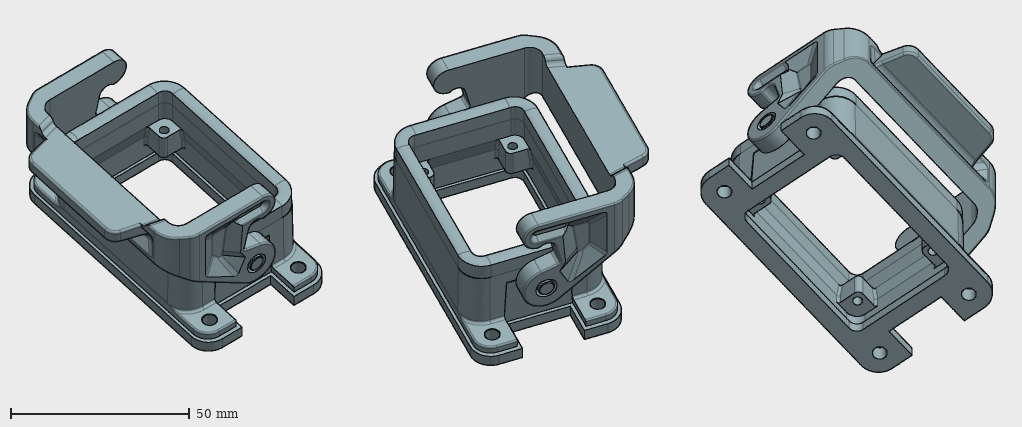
import cadquery as cq
import math


SELECT_REACH = 0.1
CUT_MARGIN = 1.65

PLATE_LENGTH = 82.5
PLATE_WIDTH = 45.4
PLATE_HEIGHT = 3.6
PLATE_CORNER = 6.2
PLATE_NOTCH_HALF_WIDTH = 18.7 / 2
PLATE_NOTCH_X = 30.85
FLANGE_HALF_LENGTH = 39.9
FLANGE_TOP = 5.9
FLANGE_CORNER = 5.2
FLANGE_EDGE_ROUND = 0.5
MOUNT_HOLE_X = 35.0
MOUNT_HOLE_Y = 16.0
MOUNT_HOLE_RADIUS = 2.1
MOUNT_HOLE_CHAMFER = 0.2

BODY_HALF_LENGTH = 30.2
BODY_HALF_WIDTH = 21.7
BODY_CORNER = 7.0
UPPER_CORNER = 7.2
BODY_DRAFT = 0.9
BODY_BREAK_Z = 23.35
BODY_TOP = 28.55
FOOT_ROUND = 0.8
RIM_CROWN = 0.4
SIDE_FLAT_X = 29.8
SIDE_FLAT_TOP = 19.2
SIDE_FLAT_HALF_WIDTH_BOTTOM = 10.5
SIDE_FLAT_HALF_WIDTH_TOP = 9.6

CAVITY_HALF_LENGTH = 25.8
CAVITY_HALF_WIDTH = 34.9 / 2
CAVITY_CORNER = 2.8
CAVITY_SHELF_Z = 16.75
CAVITY_SLOPE_END_Z = 12.2
CAVITY_WIDENING = 0.9
SCREW_BOSS_BOTTOM = 8.75
SCREW_BOSS_INNER_X = 19.3
SCREW_BOSS_INNER_Y = 10.9
SCREW_BOSS_CORNER = 1.65
SCREW_BOSS_ROOT_ROUND = 0.75
SCREW_HOLE_X = 21.95
SCREW_HOLE_Y = 13.5
SCREW_HOLE_RADIUS = 2.7 / 2

LEVER_HALF_LENGTH = 36.1
LEVER_INNER_HALF_LENGTH = 30.6
LEVER_FRONT_Y = -29.7
LEVER_INNER_FRONT_Y = -24.5
LEVER_INNER_CORNER = 3.8
LEVER_TOP = 45.0
LEVER_FRONT_BOTTOM = 31.6
LEVER_EDGE_ROUND = 0.5
CORNER_START_ANGLE = 31.6
CORNER_START_RADIUS = 5.4
CORNER_MAIN_RADIUS = 7.8
CORNER_START_Y = -20.6
PIVOT_Z = 19.3
PIVOT_EYE_RADIUS = 7.0
NOSE_Y = 2.4
NOSE_RADIUS = 4.5
THROAT_Z = 34.0
THROAT_RADIUS = 2.8
THROAT_TILT = 13.0
THROAT_CORNER_ROUND = 1.0
NOSE_CUSP_ROUND = 0.8

PIN_RADIUS = 2.4
PIN_END_X = 36.4
PIN_CHAMFER = 0.25
PIN_SINK_RADIUS = 3.2
PIN_COLLAR_RADIUS = 3.4

ARM_POCKET_DEPTH = 2.5
ARM_POCKET_RIM = [(-4.6, 42.8), (-18.4, 42.8), (-18.4, 25.9), (-6.9, 18.65), (-4.05, 24.5), (-5.8, 27.6)]
ARM_POCKET_FLOOR = [(-9.0, 38.3), (-14.0, 38.3), (-14.0, 29.8), (-11.5, 27.3), (-10.5, 27.6), (-10.2, 29.1)]
ARM_POCKET_CORNER = 2.9
ARM_POCKET_ROUNDED = (1, 2, 3)
HOOK_GROOVE_START_Y = 4.9
HOOK_GROOVE_END_Y = -8.25
HOOK_GROOVE_Z = 40.5
HOOK_GROOVE_WIDTH = 4.8
HOOK_GROOVE_DEPTH = 1.65
FRONT_POCKET_DEPTH = 2.5
FRONT_POCKET_RIM = (-26.5, 26.5, 33.0, 41.75)
FRONT_POCKET_FLOOR = (-23.1, 23.1, 35.9, 39.2)
FRONT_POCKET_CORNER = 2.5
POCKET_FLOOR_ROUND = 0.7
POCKET_RIM_ROUND = 0.6

TAB_TOP = 42.9
TAB_TIP_Y = -38.8
TAB_ROOT_HALF_WIDTH = 22.85
TAB_SIDE_ANGLE = 14.5
TAB_CORNER = 3.7
TAB_BOTTOM_ROOT_Z = 38.2
TAB_BOTTOM_TIP_Z = 38.8
TAB_EDGE_ROUND = 0.75
TAB_ROOT_DROP = 1.1
TAB_NOTCH_FLANK_RUN = 3.2


def near(x_span, y_span, z_span):
    """Selector for shapes centred within the given (min, max) spans, ends included."""
    spans = (x_span, y_span, z_span)
    return cq.selectors.BoxSelector(
        tuple(low - SELECT_REACH for low, high in spans),
        tuple(high + SELECT_REACH for low, high in spans),
    )


def span(half):
    """Span reaching equally far to both sides of zero."""
    return (-half, half)


def at(value):
    """Span holding a single coordinate."""
    return (value, value)


def rounded_block(half_x, half_y, corner, z_bottom, z_top, draft=0.0):
    """Upright block on a rounded rectangle, tapering inwards by the draft angle."""
    outline = cq.Sketch().rect(2 * half_x, 2 * half_y).vertices().fillet(corner)
    base_plane = cq.Workplane().workplane(offset=z_bottom)
    return base_plane.placeSketch(outline).extrude(z_top - z_bottom, taper=draft)


def side_notches(half_width_bottom, half_width_top, x_inner, z_bottom, z_top):
    """Cutters for both X ends, trapezoidal in the YZ plane."""
    outline = [
        (-half_width_bottom, z_bottom),
        (half_width_bottom, z_bottom),
        (half_width_top, z_top),
        (-half_width_top, z_top),
    ]
    cutter = cq.Workplane("YZ").workplane(offset=x_inner).polyline(outline).close().extrude(PLATE_LENGTH)
    return cutter.union(cutter.mirror("YZ"))


def base_plate():
    plate = rounded_block(PLATE_LENGTH / 2, PLATE_WIDTH / 2, PLATE_CORNER, 0, PLATE_HEIGHT)
    return plate.cut(
        side_notches(PLATE_NOTCH_HALF_WIDTH, PLATE_NOTCH_HALF_WIDTH, PLATE_NOTCH_X, 0, PLATE_HEIGHT)
    )


def rim_dome(half_x, half_y, corner, z_edge):
    """Crowned ring that closes the top of the wall."""
    side_y = half_y - corner
    side_x = half_x - corner
    path = (
        cq.Workplane().workplane(offset=z_edge).moveTo(half_x, 0)
        .lineTo(half_x, side_y).radiusArc((side_x, half_y), -corner)
        .lineTo(-side_x, half_y).radiusArc((-half_x, side_y), -corner)
        .lineTo(-half_x, -side_y).radiusArc((-side_x, -half_y), -corner)
        .lineTo(side_x, -half_y).radiusArc((half_x, -side_y), -corner)
        .close()
    )
    middle = (half_x + CAVITY_HALF_LENGTH) / 2
    section = (
        cq.Workplane("XZ").moveTo(half_x, z_edge)
        .threePointArc((middle, z_edge + RIM_CROWN), (CAVITY_HALF_LENGTH, z_edge))
        .lineTo(CAVITY_HALF_LENGTH, z_edge - RIM_CROWN)
        .lineTo(half_x, z_edge - RIM_CROWN)
        .close()
    )
    return section.sweep(path)


def housing():
    """Wall with flange and base plate, and separately the dome of its rim."""
    shrink = (BODY_BREAK_Z - FLANGE_TOP) * math.tan(math.radians(BODY_DRAFT))
    upper_x = BODY_HALF_LENGTH - shrink
    upper_y = BODY_HALF_WIDTH - shrink
    wall_top = BODY_TOP - RIM_CROWN

    slab = cq.Workplane().box(
        PLATE_LENGTH, 2 * PLATE_WIDTH, FLANGE_TOP - PLATE_HEIGHT, centered=(True, True, False)
    ).translate((0, 0, PLATE_HEIGHT))
    wall = slab.union(rounded_block(
        BODY_HALF_LENGTH, BODY_HALF_WIDTH, BODY_CORNER, FLANGE_TOP, BODY_BREAK_Z, BODY_DRAFT
    ))
    wall_foot = near(span(BODY_HALF_LENGTH), span(BODY_HALF_WIDTH), at(FLANGE_TOP))
    wall = wall.edges(wall_foot).fillet(FOOT_ROUND)
    wall = wall.intersect(rounded_block(
        FLANGE_HALF_LENGTH, BODY_HALF_WIDTH, FLANGE_CORNER, PLATE_HEIGHT, BODY_BREAK_Z
    ))
    flange_end = near(at(FLANGE_HALF_LENGTH), at(0), at(FLANGE_TOP))
    opposite_end = near(at(-FLANGE_HALF_LENGTH), at(0), at(FLANGE_TOP))
    wall = wall.edges(flange_end + opposite_end).fillet(FLANGE_EDGE_ROUND)
    wall = wall.union(rounded_block(upper_x, upper_y, UPPER_CORNER, BODY_BREAK_Z, wall_top))
    wall = wall.cut(side_notches(
        SIDE_FLAT_HALF_WIDTH_BOTTOM, SIDE_FLAT_HALF_WIDTH_TOP, SIDE_FLAT_X, PLATE_HEIGHT, SIDE_FLAT_TOP
    ))
    return wall.union(base_plate()), rim_dome(upper_x, upper_y, UPPER_CORNER, wall_top)


def cavity():
    def level(z_bottom, z_top, widening, draft=0.0):
        return rounded_block(
            CAVITY_HALF_LENGTH + widening,
            CAVITY_HALF_WIDTH + widening,
            CAVITY_CORNER + widening,
            z_bottom, z_top, draft,
        )

    draft_shift = (BODY_BREAK_Z - CAVITY_SHELF_Z) * math.tan(math.radians(BODY_DRAFT))
    slope_run = CAVITY_WIDENING - draft_shift
    slope = math.degrees(math.atan(slope_run / (CAVITY_SHELF_Z - CAVITY_SLOPE_END_Z)))
    space = level(0, BODY_TOP, 0)
    space = space.union(level(PLATE_HEIGHT, CAVITY_SLOPE_END_Z, CAVITY_WIDENING))
    space = space.union(level(CAVITY_SLOPE_END_Z, CAVITY_SHELF_Z, CAVITY_WIDENING, slope))
    return space.union(level(CAVITY_SHELF_Z, BODY_BREAK_Z, draft_shift, BODY_DRAFT))


def screw_bosses():
    """Blocks in the four cavity corners, each with a through hole."""
    outer_x = CAVITY_HALF_LENGTH + 2 * CAVITY_WIDENING
    outer_y = CAVITY_HALF_WIDTH + 2 * CAVITY_WIDENING
    height = CAVITY_SHELF_Z - SCREW_BOSS_BOTTOM
    boss = (
        cq.Workplane().workplane(offset=SCREW_BOSS_BOTTOM)
        .moveTo(SCREW_BOSS_INNER_X, SCREW_BOSS_INNER_Y)
        .lineTo(outer_x, SCREW_BOSS_INNER_Y).lineTo(outer_x, outer_y).lineTo(SCREW_BOSS_INNER_X, outer_y)
        .close().extrude(height)
        .edges("|Z and <X and <Y").fillet(SCREW_BOSS_CORNER)
    )
    hole = (
        cq.Workplane().workplane(offset=SCREW_BOSS_BOTTOM)
        .center(SCREW_HOLE_X, SCREW_HOLE_Y).circle(SCREW_HOLE_RADIUS).extrude(height)
    )
    boss = boss.cut(hole)
    pair = boss.union(boss.mirror("YZ"))
    return pair.union(pair.mirror("XZ"))


def mounting_holes():
    height = FLANGE_TOP
    hole = (
        cq.Workplane().rect(2 * MOUNT_HOLE_X, 2 * MOUNT_HOLE_Y, forConstruction=True).vertices()
        .circle(MOUNT_HOLE_RADIUS).extrude(height)
    )
    rim = (
        cq.Workplane().workplane(offset=height)
        .rect(2 * MOUNT_HOLE_X, 2 * MOUNT_HOLE_Y, forConstruction=True).vertices()
        .circle(MOUNT_HOLE_RADIUS + MOUNT_HOLE_CHAMFER).extrude(-MOUNT_HOLE_CHAMFER, taper=45)
    )
    return hole.union(rim)


def lever_side_points():
    """Points (Y, Z) where the stretches of the arm outline meet."""
    tilt = math.radians(THROAT_TILT)
    across = (math.cos(tilt), math.sin(tilt))
    nose_z = LEVER_TOP - NOSE_RADIUS

    to_front = (LEVER_FRONT_Y, LEVER_FRONT_BOTTOM - PIVOT_Z)
    reach = math.hypot(*to_front)
    angle = math.atan2(to_front[1], to_front[0]) + math.acos(PIVOT_EYE_RADIUS / reach)
    eye_bottom = (PIVOT_EYE_RADIUS * math.cos(angle), PIVOT_Z + PIVOT_EYE_RADIUS * math.sin(angle))
    eye_top = (PIVOT_EYE_RADIUS * across[1], PIVOT_Z + PIVOT_EYE_RADIUS * across[0])

    throat_side = (-THROAT_RADIUS * across[0], THROAT_Z + THROAT_RADIUS * across[1])
    drop = (throat_side[0] - eye_top[0]) * across[1] + (throat_side[1] - eye_top[1]) * across[0]
    corner = (throat_side[0] - drop * across[1], throat_side[1] - drop * across[0])

    gap_y = NOSE_Y
    gap_z = nose_z - THROAT_Z
    gap = math.hypot(gap_y, gap_z)
    along = (gap**2 + THROAT_RADIUS**2 - NOSE_RADIUS**2) / (2 * gap)
    offset = math.sqrt(THROAT_RADIUS**2 - along**2)
    cusp = (
        (along * gap_y + offset * gap_z) / gap,
        THROAT_Z + (along * gap_z - offset * gap_y) / gap,
    )
    return eye_bottom, eye_top, corner, throat_side, cusp


def lever_side():
    """Side outline with pivot eye, throat, hook nose and front wall, run across the full lever."""
    eye_bottom, eye_top, corner, throat_side, cusp = lever_side_points()
    profile = (
        cq.Workplane("YZ").workplane(offset=-LEVER_HALF_LENGTH)
        .moveTo(LEVER_FRONT_Y, LEVER_TOP)
        .lineTo(LEVER_FRONT_Y, LEVER_FRONT_BOTTOM)
        .lineTo(*eye_bottom)
        .threePointArc((PIVOT_EYE_RADIUS, PIVOT_Z), eye_top)
        .lineTo(*corner)
        .lineTo(*throat_side)
        .radiusArc(cusp, THROAT_RADIUS)
        .threePointArc((NOSE_Y + NOSE_RADIUS, LEVER_TOP - NOSE_RADIUS), (NOSE_Y, LEVER_TOP))
        .close()
        .extrude(2 * LEVER_HALF_LENGTH)
    )
    profile = profile.edges(near(at(0), at(corner[0]), at(corner[1]))).fillet(THROAT_CORNER_ROUND)
    return profile.edges(near(at(0), at(cusp[0]), at(cusp[1]))).fillet(NOSE_CUSP_ROUND)


def lever_plan():
    """Outer plan outline of the lever; the corner starts gently and then tightens."""
    turn = math.radians(CORNER_START_ANGLE)
    x0 = LEVER_HALF_LENGTH
    x1 = x0 - CORNER_START_RADIUS * (1 - math.cos(turn))
    y1 = CORNER_START_Y - CORNER_START_RADIUS * math.sin(turn)
    y2 = LEVER_FRONT_Y + CORNER_MAIN_RADIUS * (1 - math.sin(turn))
    x2 = x1 - (y1 - y2) * math.tan(turn)
    x3 = x2 - CORNER_MAIN_RADIUS * math.cos(turn)
    back_y = PIVOT_EYE_RADIUS + CUT_MARGIN
    half = (
        cq.Workplane().moveTo(0, back_y).lineTo(x0, back_y).lineTo(x0, CORNER_START_Y)
        .radiusArc((x1, y1), CORNER_START_RADIUS).lineTo(x2, y2)
        .radiusArc((x3, LEVER_FRONT_Y), CORNER_MAIN_RADIUS)
        .lineTo(0, LEVER_FRONT_Y).close().extrude(LEVER_TOP)
    )
    return half.union(half.mirror("YZ"))


def lever_frame():
    block = lever_side().intersect(lever_plan())
    block = block.edges("not(|X or |Z)").fillet(LEVER_EDGE_ROUND)
    inner_length = PIVOT_EYE_RADIUS + CUT_MARGIN - LEVER_INNER_FRONT_Y
    opening = (
        cq.Workplane()
        .box(2 * LEVER_INNER_HALF_LENGTH, inner_length, LEVER_TOP, centered=(True, False, False))
        .edges("|Z and <Y").fillet(LEVER_INNER_CORNER)
        .translate((0, LEVER_INNER_FRONT_Y, 0))
    )
    return block.cut(opening)


def plan_half_width(y):
    """Half width of the tab at a given Y."""
    return TAB_ROOT_HALF_WIDTH - (LEVER_INNER_FRONT_Y - y) * math.tan(math.radians(TAB_SIDE_ANGLE))


def notch_section(workplane, half_width):
    """Cross-section of the notch; each flank is an S of two equal arcs."""
    height = LEVER_TOP - TAB_TOP
    radius = (TAB_NOTCH_FLANK_RUN**2 + height**2) / (4 * height)
    middle_x = half_width + TAB_NOTCH_FLANK_RUN / 2
    top_x = half_width + TAB_NOTCH_FLANK_RUN
    middle_z = TAB_TOP + height / 2
    return (
        workplane.moveTo(-half_width, TAB_TOP).lineTo(half_width, TAB_TOP)
        .radiusArc((middle_x, middle_z), -radius)
        .radiusArc((top_x, LEVER_TOP), radius)
        .lineTo(-top_x, LEVER_TOP)
        .radiusArc((-middle_x, middle_z), radius)
        .radiusArc((-half_width, TAB_TOP), -radius)
        .close()
    )


def tab_notch():
    """Opening above the tab in the front wall, widening backwards."""
    back_y = LEVER_INNER_FRONT_Y + CUT_MARGIN
    front_y = LEVER_FRONT_Y - CUT_MARGIN
    section = notch_section(cq.Workplane("XZ", origin=(0, back_y, 0)), plan_half_width(back_y))
    section = notch_section(section.workplane(offset=back_y - front_y), plan_half_width(front_y))
    return section.loft(ruled=True, combine=True)


def thumb_tab(root_y):
    """Tapering tab that starts inside the front wall at the given Y."""
    plan = (
        cq.Workplane()
        .polyline([
            (-plan_half_width(root_y), root_y),
            (-plan_half_width(TAB_TIP_Y), TAB_TIP_Y),
            (plan_half_width(TAB_TIP_Y), TAB_TIP_Y),
            (plan_half_width(root_y), root_y),
        ])
        .close().extrude(TAB_TOP)
        .edges("|Z and <Y").fillet(TAB_CORNER)
    )
    run = root_y - LEVER_FRONT_Y
    sweep_radius = (run**2 + TAB_ROOT_DROP**2) / (2 * TAB_ROOT_DROP)
    side = (
        cq.Workplane("YZ").workplane(offset=-LEVER_HALF_LENGTH)
        .moveTo(root_y, TAB_TOP)
        .lineTo(TAB_TIP_Y, TAB_TOP)
        .lineTo(TAB_TIP_Y, TAB_BOTTOM_TIP_Z)
        .lineTo(LEVER_FRONT_Y, TAB_BOTTOM_ROOT_Z)
        .radiusArc((root_y, TAB_BOTTOM_ROOT_Z - TAB_ROOT_DROP), sweep_radius)
        .close().extrude(2 * LEVER_HALF_LENGTH)
    )
    tab = plan.intersect(side)
    return tab.edges("<Y").edges("|X").fillet(TAB_EDGE_ROUND)


def polygon_loft(plane, rim, floor, depth):
    """Recess cutter with flat sloping sides from a rim polygon down to a floor polygon."""
    return (
        cq.Workplane(plane).polyline(rim).close()
        .workplane(offset=depth).polyline(floor).close()
        .loft(ruled=True, combine=True)
    )


def rectangle(x_min, x_max, z_min, z_max):
    return [(x_min, z_min), (x_max, z_min), (x_max, z_max), (x_min, z_max)]


def arm_recess():
    """Pocket of the arm at -X, with the groove that runs into the hook."""
    outer_face = cq.Plane((-LEVER_HALF_LENGTH, 0, 0), xDir=(0, 1, 0), normal=(1, 0, 0))
    pocket = polygon_loft(outer_face, ARM_POCKET_RIM, ARM_POCKET_FLOOR, ARM_POCKET_DEPTH)
    middle_x = -LEVER_HALF_LENGTH + ARM_POCKET_DEPTH / 2
    for i in ARM_POCKET_ROUNDED:
        middle_y = (ARM_POCKET_RIM[i][0] + ARM_POCKET_FLOOR[i][0]) / 2
        middle_z = (ARM_POCKET_RIM[i][1] + ARM_POCKET_FLOOR[i][1]) / 2
        pocket = pocket.edges(near(at(middle_x), at(middle_y), at(middle_z))).fillet(ARM_POCKET_CORNER)
    pocket = pocket.faces(">X").edges().fillet(POCKET_FLOOR_ROUND)
    groove_length = HOOK_GROOVE_START_Y - HOOK_GROOVE_END_Y
    groove_middle = (HOOK_GROOVE_START_Y + HOOK_GROOVE_END_Y) / 2
    groove = (
        cq.Workplane(outer_face).center(groove_middle, HOOK_GROOVE_Z)
        .slot2D(groove_length, HOOK_GROOVE_WIDTH).extrude(HOOK_GROOVE_DEPTH, taper=45)
    )
    return pocket.union(groove)


def front_recess():
    front_face = cq.Plane((0, LEVER_FRONT_Y, 0), xDir=(-1, 0, 0), normal=(0, 1, 0))
    recess = polygon_loft(
        front_face, rectangle(*FRONT_POCKET_RIM), rectangle(*FRONT_POCKET_FLOOR), FRONT_POCKET_DEPTH
    )
    recess = recess.edges("not(#Y)").fillet(FRONT_POCKET_CORNER)
    return recess.faces(">Y").edges().fillet(POCKET_FLOOR_ROUND)


def pivot_pin():
    """Pin at -X with its collar between the housing and the arm."""
    start_x = -(CAVITY_HALF_LENGTH + SIDE_FLAT_X) / 2
    pin = (
        cq.Workplane("YZ", origin=(start_x, 0, PIVOT_Z)).circle(PIN_RADIUS)
        .extrude(-(PIN_END_X + start_x)).faces("<X").chamfer(PIN_CHAMFER)
    )
    collar = (
        cq.Workplane("YZ", origin=(start_x, 0, PIVOT_Z)).circle(PIN_COLLAR_RADIUS)
        .extrude(-(LEVER_INNER_HALF_LENGTH + start_x))
    )
    return pin.union(collar)


def pin_sink():
    """Conical sink around the pin end at -X."""
    depth = PIN_SINK_RADIUS - PIN_RADIUS
    return (
        cq.Workplane("YZ", origin=(-LEVER_HALF_LENGTH, 0, PIVOT_Z)).circle(PIN_SINK_RADIUS)
        .extrude(depth, taper=45)
    )


def both_sides(feature):
    """The feature together with its mirror image across X = 0."""
    return feature.union(feature.mirror("YZ"))


def lever():
    frame = lever_frame().cut(tab_notch())
    frame = frame.cut(front_recess())
    front_rim = near(span(FRONT_POCKET_RIM[1]), at(LEVER_FRONT_Y), FRONT_POCKET_RIM[2:])
    frame = frame.edges(front_rim).fillet(POCKET_RIM_ROUND)
    frame = frame.cut(both_sides(arm_recess()))
    end_arc = (HOOK_GROOVE_START_Y - HOOK_GROOVE_WIDTH / 2, HOOK_GROOVE_START_Y)
    for outer_x in (-LEVER_HALF_LENGTH, LEVER_HALF_LENGTH):
        groove_end = near(at(outer_x), end_arc, at(HOOK_GROOVE_Z))
        frame = frame.edges(groove_end).fillet(POCKET_RIM_ROUND)
    frame = frame.cut(both_sides(pin_sink()))
    return frame.union(thumb_tab(LEVER_FRONT_Y + FRONT_POCKET_DEPTH))


def base():
    outer, dome = housing()
    body = outer.union(dome).cut(cavity()).union(screw_bosses()).cut(mounting_holes())
    boss_span = (SCREW_BOSS_BOTTOM + SCREW_BOSS_ROOT_ROUND, CAVITY_SHELF_Z - SCREW_BOSS_ROOT_ROUND)
    wall_x = (CAVITY_HALF_LENGTH, CAVITY_HALF_LENGTH + CAVITY_WIDENING)
    wall_y = (CAVITY_HALF_WIDTH, CAVITY_HALF_WIDTH + CAVITY_WIDENING)
    for sign_x in (-1, 1):
        for sign_y in (-1, 1):
            end_wall = sorted(sign_x * x for x in wall_x)
            side_wall = sorted(sign_y * y for y in wall_y)
            on_end_wall = near(end_wall, at(sign_y * SCREW_BOSS_INNER_Y), boss_span)
            on_side_wall = near(at(sign_x * SCREW_BOSS_INNER_X), side_wall, boss_span)
            body = body.edges(on_end_wall + on_side_wall).fillet(SCREW_BOSS_ROOT_ROUND)
    return body


result = base().union(lever()).union(both_sides(pivot_pin()))